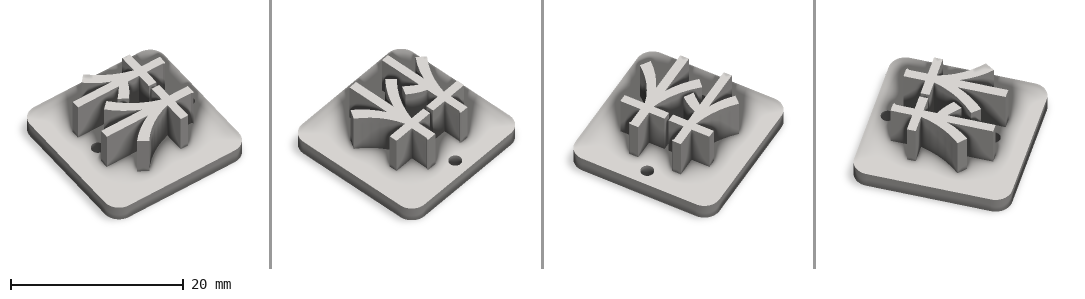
import cadquery as cq

plate_side = 19.0
plate_thickness = 2.0
corner_radius = 2.0
total_height = 7.15
wall_height = total_height - plate_thickness

hole_diameter = 1.62
upper_hole_y = 7.56
lower_hole_y = -5.2

stem_top = 6.2
left_stem = (-3.69, -2.62)
left_stem_bottom = -6.15
right_stem = (1.94, 3.08)
right_stem_bottom = -6.1
left_bar = (-6.02, -0.65)
right_bar = (-0.11, 5.74)
bar_bottom = 2.5
bar_top = 3.57

spur_reach = 0.17
spur_drop = 0.11
spur_height = 0.32


def raise_wall(outline):
    """Extrude a closed outline from the plate top to the full height."""
    return outline.close().extrude(wall_height)


def wall_plane():
    return cq.Workplane("XY").workplane(offset=plate_thickness)


def straight_wall(x_range, y_range):
    """Rectangular wall spanning the given X and Y ranges."""
    x0, x1 = x_range
    y0, y1 = y_range
    return raise_wall(wall_plane().moveTo(x0, y0).lineTo(x1, y0).lineTo(x1, y1).lineTo(x0, y1))


def curved_branch(upper_edge, lower_edge, stem_centre):
    """Branch between two arcs, each given as start, middle and end points.

    The upper edge runs out from the stem to the tip and the lower edge runs back.
    The root is carried to the stem centreline so that the branch overlaps the stem.
    """
    root_top, upper_middle, tip_top = upper_edge
    tip_bottom, lower_middle, root_bottom = lower_edge
    outline = (
        wall_plane()
        .moveTo(*root_top)
        .threePointArc(upper_middle, tip_top)
        .lineTo(*tip_bottom)
        .threePointArc(lower_middle, root_bottom)
        .lineTo(stem_centre, root_bottom[1])
        .lineTo(stem_centre, root_top[1])
    )
    return raise_wall(outline)


def cross(stem, stem_bottom, bar):
    """Stem with its crossbar and spur."""
    stem_left, stem_right = stem
    spur = raise_wall(
        wall_plane()
        .moveTo(stem_left, stem_top)
        .lineTo(stem_right, stem_top)
        .lineTo(stem_right + spur_reach, stem_top - spur_drop)
        .lineTo(stem_right, stem_top - spur_height)
        .lineTo(stem_left, stem_top - spur_height)
    )
    upright = straight_wall(stem, (stem_bottom, stem_top))
    return upright.union(straight_wall(bar, (bar_bottom, bar_top))).union(spur)


plate = (
    cq.Workplane("XY")
    .rect(plate_side, plate_side)
    .extrude(plate_thickness)
    .edges("|Z")
    .fillet(corner_radius)
    .faces(">Z")
    .workplane()
    .pushPoints([(0, upper_hole_y), (0, lower_hole_y)])
    .hole(hole_diameter)
)

left_centre = sum(left_stem) / 2
right_centre = sum(right_stem) / 2

left_long_branch = curved_branch(
    [(left_stem[0], bar_bottom), (-4.77, -0.23), (-6.55, -2.66)],
    [(-5.57, -3.55), (-4.48, -2.13), (left_stem[0], -0.57)],
    left_centre,
)
left_short_branch = curved_branch(
    [(left_stem[1], 0.9), (-1.35, 0.23), (-0.4, -0.51)],
    [(-1.08, -1.65), (-1.82, -0.99), (left_stem[1], -0.36)],
    left_centre,
)
right_branch_to_left = curved_branch(
    [(right_stem[0], bar_bottom), (0.53, -0.48), (-1.55, -2.89)],
    [(-0.65, -3.88), (1.0, -1.94), (right_stem[0], -0.28)],
    right_centre,
)
right_branch_to_right = curved_branch(
    [(right_stem[1], bar_bottom), (4.3, -0.13), (6.45, -2.45)],
    [(5.66, -3.65), (4.24, -2.13), (right_stem[1], -0.23)],
    right_centre,
)

result = (
    plate
    .union(cross(left_stem, left_stem_bottom, left_bar))
    .union(cross(right_stem, right_stem_bottom, right_bar))
    .union(left_long_branch)
    .union(left_short_branch)
    .union(right_branch_to_left)
    .union(right_branch_to_right)
)